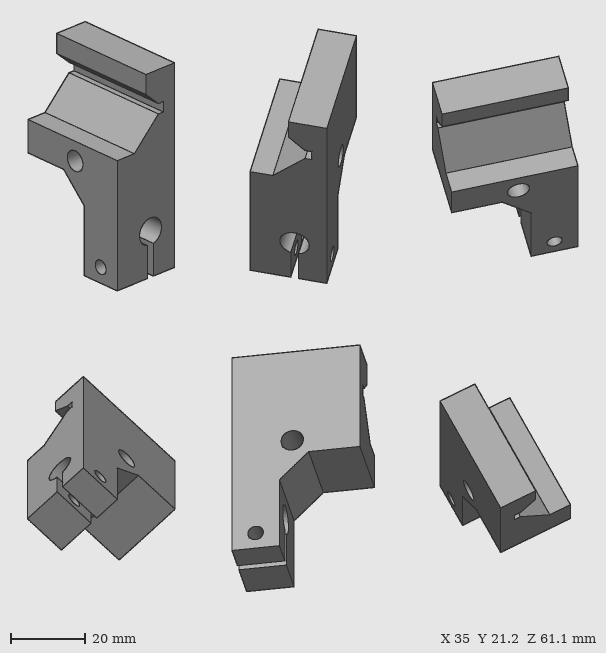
import cadquery as cq

WIDTH = 35.0
DEPTH = 21.2
HEIGHT = 61.1

LIP_HEIGHT = 6.0
LIP_DEPTH = 10.6
LEDGE_DEPTH = 6.3
LEDGE_Z = 38.9
RELIEF_HEIGHT = 3.1
RELIEF_BOTTOM_Z = 47.8
RELIEF_WALL = 4.2

HEAD_BOTTOM_Z = 28.9
LEG_WIDTH = 13.0
LEG_GUSSET = 8.0

MOUNT_DIAMETER = 6.1
MOUNT_X = 18.5
MOUNT_Z = 33.0
SCREW_DIAMETER = 4.2
SCREW_X = WIDTH - LEG_WIDTH / 2
SCREW_Z = 4.8

CLAMP_DIAMETER = 8.1
CLAMP_Y = 12.3
CLAMP_Z = 13.7
SLIT_WIDTH = 2.1


def jaw_body():
    """Full-width bar with the dovetail jaw in its YZ profile."""
    lip_front_y = DEPTH - LIP_DEPTH
    lip_bottom_z = HEIGHT - LIP_HEIGHT
    relief_top_z = RELIEF_BOTTOM_Z + RELIEF_HEIGHT
    relief_back_y = DEPTH - RELIEF_WALL
    relief_mouth_y = LEDGE_DEPTH + RELIEF_BOTTOM_Z - LEDGE_Z
    profile = [
        (0, 0),
        (DEPTH, 0),
        (DEPTH, HEIGHT),
        (lip_front_y, HEIGHT),
        (lip_front_y, lip_bottom_z),
        (relief_mouth_y, relief_top_z),
        (relief_back_y, relief_top_z),
        (relief_back_y, RELIEF_BOTTOM_Z),
        (relief_mouth_y, RELIEF_BOTTOM_Z),
        (LEDGE_DEPTH, LEDGE_Z),
        (0, LEDGE_Z),
    ]
    return cq.Workplane("YZ").polyline(profile).close().extrude(WIDTH)


def corner_cut():
    """Material removed below the head to leave the narrow leg and gusset."""
    leg_x = WIDTH - LEG_WIDTH
    profile = [
        (0, 0),
        (leg_x, 0),
        (leg_x, HEAD_BOTTOM_Z - LEG_GUSSET),
        (leg_x - LEG_GUSSET, HEAD_BOTTOM_Z),
        (0, HEAD_BOTTOM_Z),
    ]
    return cq.Workplane("XZ").polyline(profile).close().extrude(-DEPTH)


def front_hole(x, z, diameter):
    """Through hole along Y."""
    return cq.Workplane("XZ").center(x, z).circle(diameter / 2).extrude(-DEPTH)


def split_clamp():
    """Bore along X with a slit opening through the foot of the leg."""
    bore = cq.Workplane("YZ").center(CLAMP_Y, CLAMP_Z).circle(CLAMP_DIAMETER / 2).extrude(WIDTH)
    slit = (
        cq.Workplane("YZ")
        .center(CLAMP_Y, CLAMP_Z / 2)
        .rect(SLIT_WIDTH, CLAMP_Z)
        .extrude(WIDTH)
    )
    return bore.union(slit)


result = (
    jaw_body()
    .cut(corner_cut())
    .cut(front_hole(MOUNT_X, MOUNT_Z, MOUNT_DIAMETER))
    .cut(front_hole(SCREW_X, SCREW_Z, SCREW_DIAMETER))
    .cut(split_clamp())
)